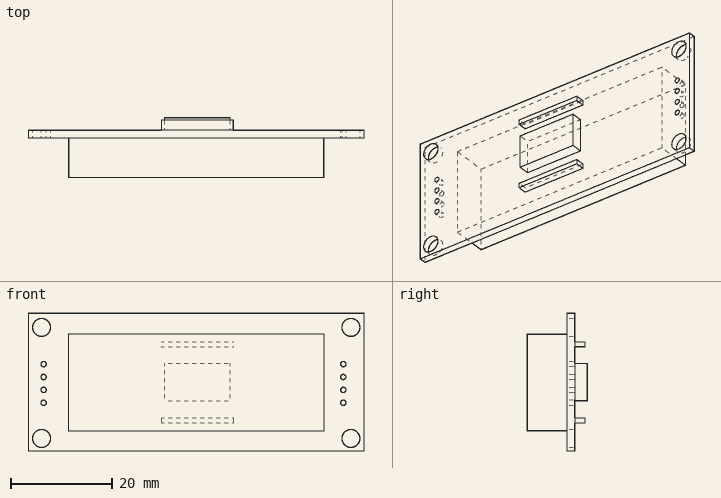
import cadquery as cq

BOARD_LENGTH = 66.2
BOARD_HEIGHT = 27.2
BOARD_THICKNESS = 1.6

DISPLAY_LENGTH = 50.3
DISPLAY_HEIGHT = 19.1
OVERALL_DEPTH = 11.85
CHIP_DEPTH = 2.45
DISPLAY_DEPTH = OVERALL_DEPTH - BOARD_THICKNESS - CHIP_DEPTH
DISPLAY_Z = -0.05

BACK_PARTS_X = 0.2
CHIP_LENGTH = 13.0
CHIP_HEIGHT = 7.4
BAR_LENGTH = 14.2
BAR_HEIGHT = 1.02
BAR_DEPTH = 2.0
BAR_SPACING = 15.0
BAR_CENTER_Z = -0.05

MOUNT_DIAMETER = 3.5
MOUNT_SPACING_X = 61.0
MOUNT_SPACING_Z = 21.9
MOUNT_CENTER_Z = -0.15

PIN_DIAMETER = 1.02
PIN_PITCH = 2.54
PINS_PER_COLUMN = 4
PIN_LEFT_MARGIN = 3.0
PIN_RIGHT_MARGIN = 4.1
PIN_CENTER_Z = -0.25

BOARD_FRONT_Y = -BOARD_THICKNESS
BOARD_BACK_Y = 0.0


def block(length, depth, height, x, front_y, z):
    """Box centred on x and z whose depth runs towards +Y from front_y."""
    return (
        cq.Workplane("XY")
        .box(length, depth, height, centered=(True, False, True))
        .translate((x, front_y, z))
    )


def holes_through_board(diameter, centers):
    """Cylinders that pass through the board at the given (x, z) centres."""
    return (
        cq.Workplane("XZ", origin=(0, BOARD_BACK_Y, 0))
        .pushPoints(centers)
        .circle(diameter / 2)
        .extrude(BOARD_THICKNESS)
    )


def mounting_holes():
    centers = [
        (side_x * MOUNT_SPACING_X / 2, MOUNT_CENTER_Z + side_z * MOUNT_SPACING_Z / 2)
        for side_x in (-1, 1)
        for side_z in (-1, 1)
    ]
    return holes_through_board(MOUNT_DIAMETER, centers)


def pin_holes():
    columns_x = (
        -BOARD_LENGTH / 2 + PIN_LEFT_MARGIN,
        BOARD_LENGTH / 2 - PIN_RIGHT_MARGIN,
    )
    lowest_z = PIN_CENTER_Z - (PINS_PER_COLUMN - 1) * PIN_PITCH / 2
    centers = [
        (x, lowest_z + index * PIN_PITCH)
        for x in columns_x
        for index in range(PINS_PER_COLUMN)
    ]
    return holes_through_board(PIN_DIAMETER, centers)


def board():
    plate = block(BOARD_LENGTH, BOARD_THICKNESS, BOARD_HEIGHT, 0, BOARD_FRONT_Y, 0)
    return plate.cut(mounting_holes()).cut(pin_holes())


def display():
    front_y = BOARD_FRONT_Y - DISPLAY_DEPTH
    return block(DISPLAY_LENGTH, DISPLAY_DEPTH, DISPLAY_HEIGHT, 0, front_y, DISPLAY_Z)


def chip():
    return block(CHIP_LENGTH, CHIP_DEPTH, CHIP_HEIGHT, BACK_PARTS_X, BOARD_BACK_Y, 0)


def bar(side):
    z = BAR_CENTER_Z + side * BAR_SPACING / 2
    return block(BAR_LENGTH, BAR_DEPTH, BAR_HEIGHT, BACK_PARTS_X, BOARD_BACK_Y, z)


result = board().union(display()).union(chip())
for bar_side in (-1, 1):
    result = result.union(bar(bar_side))